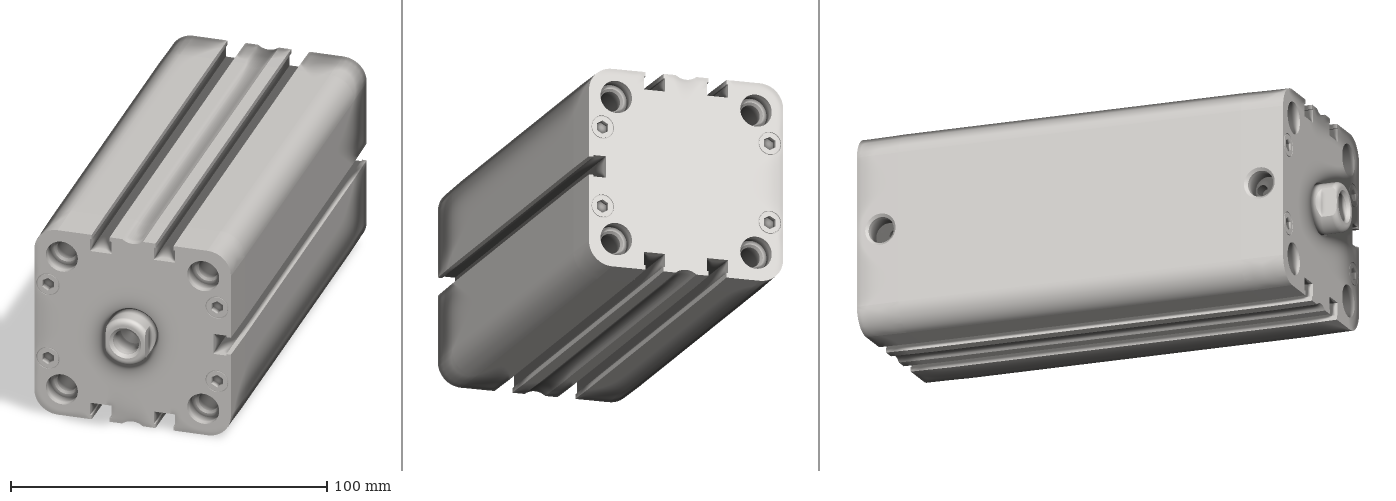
import cadquery as cq
import math


WIDTH = 65.5
OVERALL_LENGTH = 153.0
ROD_PROTRUSION = 8.0
HOUSING_LENGTH = OVERALL_LENGTH - ROD_PROTRUSION
CAP_LENGTH = 14.2
CORNER_RADIUS = 8.0
CAP_INSET = 0.2
HALF_WIDTH = WIDTH / 2
TIP_Y = -OVERALL_LENGTH / 2
FRONT_Y = TIP_Y + ROD_PROTRUSION
REAR_Y = FRONT_Y + HOUSING_LENGTH
MIDDLE_Y = (FRONT_Y + REAR_Y) / 2
PROFILE_LENGTH = HOUSING_LENGTH - 2 * CAP_LENGTH

SLOT_OFFSET = 10.5
SLOT_DEPTH = 6.0
SLOT_WIDTH = 7.0
SLOT_MOUTH_WIDTH = 6.0
SLOT_MOUTH_DEPTH = 1.7
GROOVE_WIDTH = 6.9
GROOVE_DEPTH = 1.2

MOUNT_OFFSET = 23.4
MOUNT_THROUGH_DIAMETER = 6.6
MOUNT_STEP_DIAMETER = 8.1
MOUNT_ENTRY_DIAMETER = 10.5
MOUNT_ENTRY_DEPTH = 5.0

SCREW_X = 28.0
SCREW_Z = 13.0
SCREW_RING_OUTER_DIAMETER = 7.6
SCREW_RING_INNER_DIAMETER = 7.0
SCREW_RING_DEPTH = 0.3
SOCKET_ACROSS_FLATS = 3.8
SOCKET_DEPTH = 2.3

PORT_FROM_END = 8.0
PORT_DIAMETER = 8.5
PORT_MOUTH_DIAMETER = 10.5
PORT_DEPTH = 7.6
AIR_HOLE_FROM_END = 10.0
AIR_HOLE_DIAMETER = 3.5
AIR_HOLE_DEPTH = 4.6

ROD_DIAMETER = 16.0
ROD_BORE_MOUTH_DIAMETER = 17.3
ROD_SEAT_DEPTH = CAP_LENGTH
ROD_TIP_FILLET = 1.8
FLATS_WIDTH = 13.0
FLATS_LENGTH = 5.2
ROD_HOLE_DIAMETER = 8.5
ROD_HOLE_MOUTH_DIAMETER = 10.5
ROD_HOLE_DEPTH = 9.2
ROD_HOLE_END_DIAMETER = 3.5

CHAMFER_ANGLE = 45
FRONT_PLANE = cq.Plane.named("XZ", (0, FRONT_Y, 0))


def revolved_about_y(points, x=0, z=0):
    """Turn a list of (radius, y) points about the line parallel to Y through (x, z)."""
    outline = cq.Workplane("XY").polyline(points).close()
    return outline.revolve(360, (0, 0, 0), (0, 1, 0)).translate((x, 0, z))


def lengthwise_cutter(outline):
    """Run an XZ outline along the full housing."""
    return outline.extrude(-HOUSING_LENGTH).translate((0, FRONT_Y, 0))


def mirrored_to_rear(shape):
    """The front shape together with its mirror image at the rear."""
    return shape.union(shape.mirror("XZ", (0, MIDDLE_Y, 0)))


def make_blank():
    """Rounded square bar whose end caps draw in slightly towards their end faces."""
    section = cq.Sketch().rect(WIDTH, WIDTH).vertices().fillet(CORNER_RADIUS)
    seam = cq.Workplane("XZ", origin=(0, FRONT_Y + CAP_LENGTH, 0)).placeSketch(section)
    profile = seam.extrude(-PROFILE_LENGTH)
    taper = math.degrees(math.atan2(CAP_INSET, CAP_LENGTH))
    cap = seam.extrude(CAP_LENGTH, taper=taper)
    return profile.union(mirrored_to_rear(cap))


def slot_cutter():
    """T-slot open to +Z, centred on X = 0."""
    mouth = cq.Workplane("XZ").center(0, HALF_WIDTH - SLOT_MOUTH_DEPTH / 2).rect(
        SLOT_MOUTH_WIDTH, SLOT_MOUTH_DEPTH)
    inner_depth = SLOT_DEPTH - SLOT_MOUTH_DEPTH
    inner = cq.Workplane("XZ").center(0, HALF_WIDTH - SLOT_DEPTH + inner_depth / 2).rect(
        SLOT_WIDTH, inner_depth)
    return lengthwise_cutter(mouth).union(lengthwise_cutter(inner))


def groove_cutter():
    """Shallow round groove along the middle of the top, following the taper of the caps."""
    radius = (GROOVE_WIDTH ** 2 / 4 + GROOVE_DEPTH ** 2) / (2 * GROOVE_DEPTH)
    centre = cq.Vector(0, FRONT_Y + CAP_LENGTH, HALF_WIDTH - GROOVE_DEPTH + radius)
    section = cq.Wire.makeCircle(radius, centre, cq.Vector(0, 1, 0))
    along_profile = cq.Solid.extrudeLinear(section, [], cq.Vector(0, PROFILE_LENGTH, 0))
    along_cap = cq.Solid.extrudeLinear(section, [], cq.Vector(0, -CAP_LENGTH, -CAP_INSET))
    return mirrored_to_rear(cq.Workplane(along_cap)).union(cq.Workplane(along_profile))


def turned_about_y(cutter, angle):
    return cutter.rotate((0, 0, 0), (0, 1, 0), angle)


def cut_slots_and_grooves(body):
    slot = slot_cutter()
    groove = groove_cutter()
    for angle in (0, 180):
        body = body.cut(turned_about_y(groove, angle))
        for x in (-SLOT_OFFSET, SLOT_OFFSET):
            body = body.cut(turned_about_y(slot.translate((x, 0, 0)), angle))
    return body.cut(turned_about_y(slot, 90))


def cut_mounting_holes(body):
    """Through holes at the corners, with a flat step and a cone behind each entry."""
    through_radius = MOUNT_THROUGH_DIAMETER / 2
    step_radius = MOUNT_STEP_DIAMETER / 2
    entry_radius = MOUNT_ENTRY_DIAMETER / 2
    step_y = FRONT_Y + MOUNT_ENTRY_DEPTH
    cone_end_y = step_y + step_radius - through_radius
    points = [
        (0, FRONT_Y),
        (entry_radius, FRONT_Y),
        (entry_radius, step_y),
        (step_radius, step_y),
        (through_radius, cone_end_y),
        (through_radius, MIDDLE_Y),
        (0, MIDDLE_Y),
    ]
    for x in (-MOUNT_OFFSET, MOUNT_OFFSET):
        for z in (-MOUNT_OFFSET, MOUNT_OFFSET):
            body = body.cut(mirrored_to_rear(revolved_about_y(points, x, z)))
    return body


def cut_screw_heads(body):
    """Flush screw heads, each ringed by a groove, with hexagon sockets pointing up and down."""
    centres = [(x, z) for x in (-SCREW_X, SCREW_X) for z in (-SCREW_Z, SCREW_Z)]
    across_corners = SOCKET_ACROSS_FLATS / math.cos(math.pi / 6)
    hexagon = cq.Sketch().regularPolygon(across_corners / 2, 6)
    face = cq.Workplane(FRONT_PLANE).pushPoints(centres)
    rings = face.circle(SCREW_RING_OUTER_DIAMETER / 2).circle(SCREW_RING_INNER_DIAMETER / 2)
    rings = rings.extrude(-SCREW_RING_DEPTH)
    sockets = face.placeSketch(hexagon).extrude(-SOCKET_DEPTH)
    return body.cut(mirrored_to_rear(rings.union(sockets)))


def cut_ports(body):
    """Countersunk port with an off-centre air hole in its floor, in each cap."""
    side = cq.Workplane("YZ", origin=(-HALF_WIDTH, 0, 0))
    port_y = FRONT_Y + PORT_FROM_END
    countersink_depth = (PORT_MOUTH_DIAMETER - PORT_DIAMETER) / 2
    port = side.center(port_y, 0).circle(PORT_DIAMETER / 2).extrude(PORT_DEPTH)
    countersink = side.center(port_y, 0).circle(PORT_MOUTH_DIAMETER / 2)
    countersink = countersink.extrude(countersink_depth, taper=CHAMFER_ANGLE)
    air_hole = side.center(FRONT_Y + AIR_HOLE_FROM_END, 0).circle(AIR_HOLE_DIAMETER / 2)
    air_hole = air_hole.extrude(PORT_DEPTH + AIR_HOLE_DEPTH)
    return body.cut(mirrored_to_rear(port.union(countersink).union(air_hole)))


def cut_rod_bore(body):
    """Blind seat that fits the rod, with a 45 degree chamfer at its mouth."""
    face = cq.Workplane(FRONT_PLANE)
    chamfer = (ROD_BORE_MOUTH_DIAMETER - ROD_DIAMETER) / 2
    seat = face.circle(ROD_DIAMETER / 2).extrude(-ROD_SEAT_DEPTH)
    mouth = face.circle(ROD_BORE_MOUTH_DIAMETER / 2).extrude(-chamfer, taper=CHAMFER_ANGLE)
    return body.cut(seat).cut(mouth)


def make_housing():
    body = make_blank()
    body = cut_slots_and_grooves(body)
    body = cut_mounting_holes(body)
    body = cut_screw_heads(body)
    body = cut_ports(body)
    return cut_rod_bore(body)


def flat_cutter():
    """Wrench flat on the +X side of the rod tip, running out at 45 degrees."""
    flat_x = FLATS_WIDTH / 2
    beyond_x = ROD_DIAMETER
    shoulder_y = TIP_Y + FLATS_LENGTH
    outline = cq.Workplane("XY").polyline([
        (flat_x, TIP_Y),
        (beyond_x, TIP_Y),
        (beyond_x, shoulder_y + beyond_x - flat_x),
        (flat_x, shoulder_y),
    ]).close()
    return outline.extrude(ROD_DIAMETER, both=True)


def rod_hole_cutter():
    """Blind hole with a chamfered mouth and a blunt 45 degree cone at its end."""
    mouth_radius = ROD_HOLE_MOUTH_DIAMETER / 2
    hole_radius = ROD_HOLE_DIAMETER / 2
    end_radius = ROD_HOLE_END_DIAMETER / 2
    hole_end_y = TIP_Y + ROD_HOLE_DEPTH
    cone_end_y = hole_end_y + hole_radius - end_radius
    return revolved_about_y([
        (0, TIP_Y),
        (mouth_radius, TIP_Y),
        (hole_radius, TIP_Y + mouth_radius - hole_radius),
        (hole_radius, hole_end_y),
        (end_radius, cone_end_y),
        (0, cone_end_y),
    ])


def make_piston_rod():
    tip = cq.Workplane("XZ", origin=(0, TIP_Y, 0))
    rod = tip.circle(ROD_DIAMETER / 2).extrude(-ROD_PROTRUSION - ROD_SEAT_DEPTH)
    rod = rod.faces("<Y").edges().fillet(ROD_TIP_FILLET)
    flat = flat_cutter()
    for angle in (0, 180):
        rod = rod.cut(turned_about_y(flat, angle))
    return rod.cut(rod_hole_cutter())


housing = make_housing()
piston_rod = make_piston_rod()
result = cq.Compound.makeCompound([housing.solids().val(), piston_rod.solids().val()])